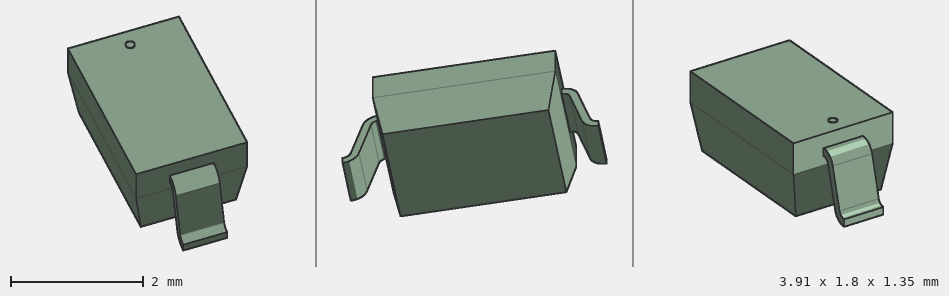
import cadquery as cq
import math

overall_length = 3.91

housing_length = 2.79
housing_width = 1.8
housing_height = 1.337
parting_height = 0.81
draft_angle = 9.0

mark_diameter = 0.14
mark_thickness = 0.01
mark_inset = 0.278

lead_width = 0.71
lead_thickness = 0.13
lead_top = 1.095
inner_radius = 0.125
outer_radius = inner_radius + lead_thickness
bend_angle = 75.0


def make_housing():
    upper = (
        cq.Workplane("XY", origin=(0, 0, parting_height))
        .rect(housing_length, housing_width)
        .extrude(housing_height - parting_height)
    )
    lower = (
        cq.Workplane("XY", origin=(0, 0, parting_height))
        .rect(housing_length, housing_width)
        .extrude(-parting_height, taper=draft_angle)
    )
    return upper.union(lower)


def make_polarity_mark():
    mark_x = -housing_length / 2 + mark_inset
    return (
        cq.Workplane("XY", origin=(mark_x, 0, housing_height))
        .circle(mark_diameter / 2)
        .extrude(mark_thickness)
    )


def point_on_bend(center, radius, angle):
    """Point in the XZ plane at an angle in degrees from +X about a bend center."""
    turn = math.radians(angle)
    return (center[0] + radius * math.cos(turn), center[1] + radius * math.sin(turn))


def make_lead(rotation):
    """Gull-wing lead at the -X end, turned about Z by the rotation in degrees."""
    housing_x = -housing_length / 2
    tip_x = -overall_length / 2

    bend = math.radians(bend_angle)
    bend_radii = inner_radius + outer_radius
    rise = lead_top - lead_thickness - bend_radii * (1 - math.cos(bend))
    run = bend_radii * math.sin(bend) + rise / math.tan(bend)
    flat_length = (housing_x - tip_x - run) / 2
    shoulder = (housing_x - flat_length, lead_top - outer_radius)
    heel = (tip_x + flat_length, outer_radius)

    shoulder_start, shoulder_end = 90, 90 + bend_angle
    shoulder_middle = (shoulder_start + shoulder_end) / 2
    heel_start, heel_end = -90, -90 + bend_angle
    heel_middle = (heel_start + heel_end) / 2

    outline = (
        cq.Workplane("XZ")
        .moveTo(tip_x, 0)
        .lineTo(*point_on_bend(heel, outer_radius, heel_start))
        .threePointArc(
            point_on_bend(heel, outer_radius, heel_middle),
            point_on_bend(heel, outer_radius, heel_end),
        )
        .lineTo(*point_on_bend(shoulder, inner_radius, shoulder_end))
        .threePointArc(
            point_on_bend(shoulder, inner_radius, shoulder_middle),
            point_on_bend(shoulder, inner_radius, shoulder_start),
        )
        .lineTo(housing_x, lead_top - lead_thickness)
        .lineTo(housing_x, lead_top)
        .lineTo(*point_on_bend(shoulder, outer_radius, shoulder_start))
        .threePointArc(
            point_on_bend(shoulder, outer_radius, shoulder_middle),
            point_on_bend(shoulder, outer_radius, shoulder_end),
        )
        .lineTo(*point_on_bend(heel, inner_radius, heel_end))
        .threePointArc(
            point_on_bend(heel, inner_radius, heel_middle),
            point_on_bend(heel, inner_radius, heel_start),
        )
        .lineTo(tip_x, lead_thickness)
        .close()
    )
    lead = outline.extrude(lead_width / 2, both=True)
    return lead.rotate((0, 0, 0), (0, 0, 1), rotation)


housing = make_housing()
polarity_mark = make_polarity_mark()
leads = [make_lead(rotation) for rotation in (0, 180)]

result = cq.Compound.makeCompound(
    [housing.val(), polarity_mark.val(), *[lead.val() for lead in leads]]
)